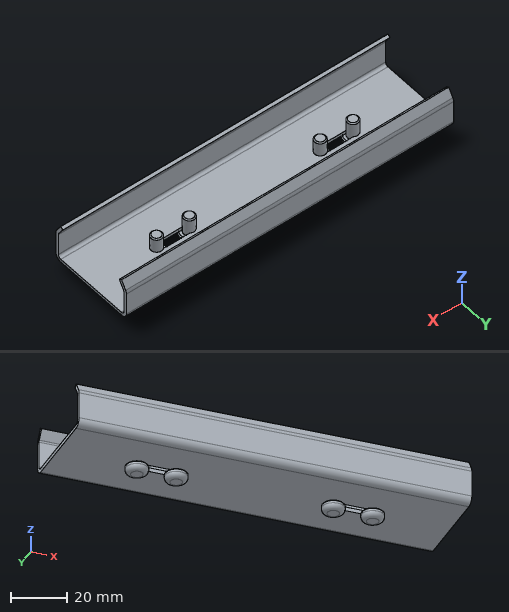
import cadquery as cq
import math

overall_height = 21.5

length = 150.0
width = 39.5
height = 18.1
sheet = 1.5
bend_radius = 2.85
lip_angle = 32.5
lip_length = 4.25

pair_spacing = 75.0
screw_spacing = 15.0
slot_width = 4.0
shank_diameter = 5.0
shank_length = 8.1
tip_chamfer = 0.5
head_diameter = 8.5
head_height = overall_height - height
head_rim_chamfer = 0.5
head_dome_radius = 2.0

pair_centers = [(-pair_spacing / 2, 0), (pair_spacing / 2, 0)]
screw_centers = [
    (pair_x + side * screw_spacing / 2, pair_y)
    for pair_x, pair_y in pair_centers
    for side in (-1, 1)
]


def bend_point(center, radius, angle):
    """Point on a bend, at an angle in degrees from +Y towards +Z."""
    turn = math.radians(angle)
    return center[0] + radius * math.cos(turn), center[1] + radius * math.sin(turn)


def half_channel():
    """The +Y half of the channel, from the middle of the floor to one lip tip."""
    tilt_sine = math.sin(math.radians(lip_angle))
    tilt_cosine = math.cos(math.radians(lip_angle))
    wall_outside = width / 2
    wall_inside = wall_outside - sheet
    inner_bend_radius = bend_radius - sheet
    bend_center_y = wall_outside - bend_radius

    lip_bend_height = height - lip_length * tilt_cosine - bend_radius * tilt_sine
    floor_bend = (bend_center_y, bend_radius)
    lip_bend = (bend_center_y, lip_bend_height)
    lip_outer_start = bend_point(lip_bend, bend_radius, lip_angle)
    lip_inner_start = bend_point(lip_bend, inner_bend_radius, lip_angle)
    tip_outer = (lip_outer_start[0] - lip_length * tilt_sine, height)
    tip_inner = (tip_outer[0] - sheet * tilt_cosine, height - sheet * tilt_sine)

    return (
        cq.Workplane("YZ", origin=(-length / 2, 0, 0))
        .lineTo(bend_center_y, 0)
        .threePointArc(bend_point(floor_bend, bend_radius, -45), (wall_outside, bend_radius))
        .lineTo(wall_outside, lip_bend_height)
        .threePointArc(bend_point(lip_bend, bend_radius, lip_angle / 2), lip_outer_start)
        .lineTo(*tip_outer)
        .lineTo(*tip_inner)
        .lineTo(*lip_inner_start)
        .threePointArc(
            bend_point(lip_bend, inner_bend_radius, lip_angle / 2), (wall_inside, lip_bend_height)
        )
        .lineTo(wall_inside, bend_radius)
        .threePointArc(bend_point(floor_bend, inner_bend_radius, -45), (bend_center_y, sheet))
        .lineTo(0, sheet)
        .close()
        .extrude(length)
    )


def make_channel():
    """The full channel with its screw holes and the slots that join them in pairs."""
    half = half_channel()
    slots = cq.Workplane("XY").pushPoints(pair_centers).rect(screw_spacing, slot_width).extrude(sheet)
    holes = cq.Workplane("XY").pushPoints(screw_centers).circle(shank_diameter / 2).extrude(sheet)
    return half.union(half.mirror("XZ")).clean().cut(slots).cut(holes)


def make_screw(center):
    """A screw inserted from below, its head bearing on the underside of the floor."""
    head = (
        cq.Workplane("XY")
        .circle(head_diameter / 2)
        .extrude(-head_height)
        .faces("<Z").edges().fillet(head_dome_radius)
        .faces(">Z").edges().chamfer(head_rim_chamfer)
    )
    shank = (
        cq.Workplane("XY")
        .circle(shank_diameter / 2)
        .extrude(shank_length)
        .faces(">Z").edges().chamfer(tip_chamfer)
    )
    return head.union(shank).translate((*center, 0))


channel = make_channel()
screws = [make_screw(center) for center in screw_centers]

result = cq.Compound.makeCompound([channel.val(), *[screw.val() for screw in screws]])